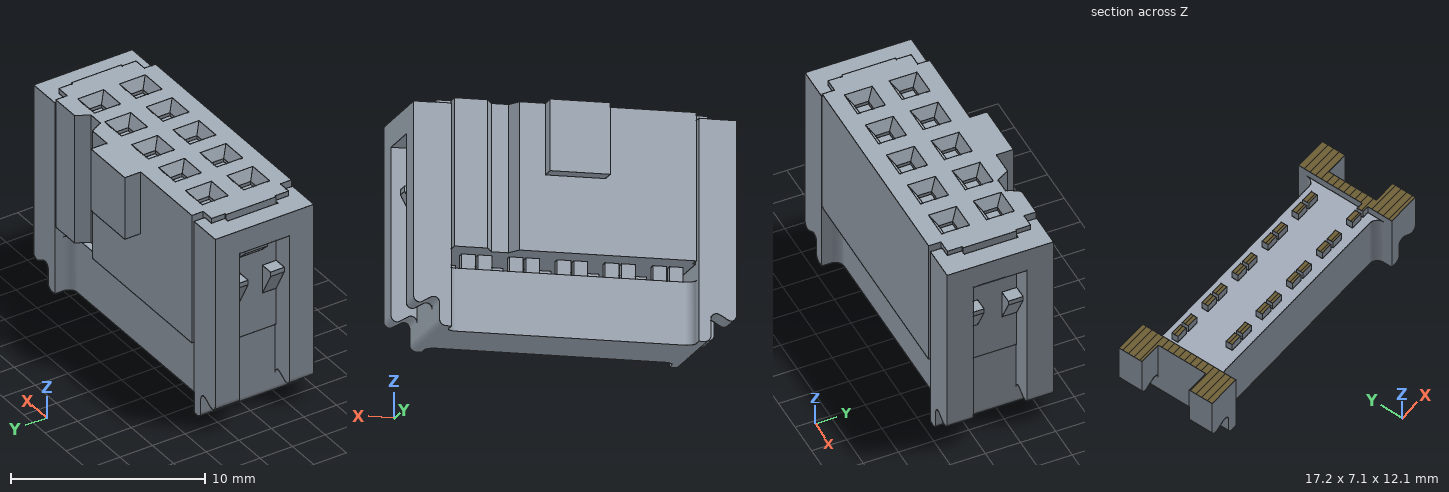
import cadquery as cq
import math


length = 17.2
bracket_depth = 6.05
bracket_top = 11.8
bracket_inner_x = 6.59
foot_outer_x = 7.22
foot_radius = 0.35
leg_bottom = 1.17
notch_top = 1.51
leg_radius = 0.31
mid_y = bracket_depth / 2

slot_width = 3.06
slot_top = 10.39
top_gap_width = 0.17

housing_top = 12.1
housing_bottom = 4.23
housing_half_length = 6.43
housing_front = -0.03
housing_back = 6.09
flange_width = 4.73
tab_thickness = 0.1
tab_face_x = foot_outer_x + tab_thickness

key_width = 3.2
key_back = 7.07
key_bottom = 8.29
notch_x = 3.82
notch_outer_width = 1.7
notch_inner_width = 0.9
notch_floor_y = 5.35

columns = 5
pitch = 2.55
socket_mouth = 1.58
socket_bore = 0.79
funnel_depth = 0.57
socket_depth = 0.75

tooth_width = 0.85
tooth_reach = 0.77
tooth_top = 8.17
tooth_lip = 0.28
tooth_bottom = 6.45
lug_reach = 0.46
lug_bottom = 9.15

cover_top = 3.34
cover_front = 1.05
cover_fillet = 0.5

fork_width = 1.62
fork_slit = 0.15
fork_thickness = 0.4
fork_centre_x = 0.38
embed = 0.17


def box(x0, x1, y0, y1, z0, z1):
    return cq.Workplane("XY").box(x1 - x0, y1 - y0, z1 - z0, centered=False).translate((x0, y0, z0))


def both_ends(right_end):
    return right_end.union(right_end.mirror("YZ"))


def extrude_y(profile, y0, y1):
    """Extrude a profile drawn on the XZ plane from y0 to y1."""
    return profile.extrude(y0 - y1).translate((0, y0, 0))


def make_bracket():
    """Right bracket: an S-curved notch separates the outer legs from the foot."""
    r = leg_radius
    outer_x = length / 2
    leg_cx, leg_cz = outer_x - r, leg_bottom + r
    notch_cx, notch_cz = foot_outer_x + r, notch_top - r

    run, drop = leg_cx - notch_cx, leg_cz - notch_cz
    slope = math.asin(2 * r / math.hypot(run, drop)) - math.atan2(drop, run)
    nx, nz = r * math.sin(slope), r * math.cos(slope)
    diagonal = r * math.sqrt(0.5)

    profile = (
        cq.Workplane("XZ")
        .moveTo(bracket_inner_x, 0)
        .lineTo(foot_outer_x - foot_radius, 0)
        .radiusArc((foot_outer_x, foot_radius), -foot_radius)
        .lineTo(foot_outer_x, notch_cz)
        .threePointArc((notch_cx - diagonal, notch_cz + diagonal), (notch_cx, notch_top))
        .threePointArc(
            (notch_cx + r * math.sin(slope / 2), notch_cz + r * math.cos(slope / 2)),
            (notch_cx + nx, notch_cz + nz),
        )
        .lineTo(leg_cx - nx, leg_cz - nz)
        .threePointArc(
            (leg_cx - r * math.sin(slope / 2), leg_cz - r * math.cos(slope / 2)),
            (leg_cx, leg_bottom),
        )
        .threePointArc((leg_cx + diagonal, leg_cz - diagonal), (outer_x, leg_cz))
        .lineTo(outer_x, bracket_top)
        .lineTo(bracket_inner_x, bracket_top)
        .close()
    )
    slot_y0, slot_y1 = mid_y - slot_width / 2, mid_y + slot_width / 2
    slot = box(foot_outer_x, outer_x, slot_y0, slot_y1, 0, slot_top)
    top_gap = box(foot_outer_x, tab_face_x + top_gap_width, slot_y0, slot_y1, 0, bracket_top)
    return extrude_y(profile, 0, bracket_depth).cut(slot).cut(top_gap)


def make_latch():
    """Right-end tab with two latch teeth and a lug between them."""
    y0, y1 = mid_y - slot_width / 2, mid_y + slot_width / 2
    latch = box(housing_half_length, tab_face_x, y0, y1, housing_bottom, housing_top)
    tooth = [
        (foot_outer_x, tooth_bottom),
        (tab_face_x, tooth_bottom),
        (tab_face_x + tooth_reach, tooth_top - tooth_lip),
        (tab_face_x + tooth_reach, tooth_top),
        (foot_outer_x, tooth_top),
    ]
    lug = [
        (foot_outer_x, lug_bottom),
        (tab_face_x, lug_bottom),
        (tab_face_x + lug_reach, lug_bottom + lug_reach),
        (tab_face_x + lug_reach, slot_top),
        (foot_outer_x, slot_top),
    ]
    lug_y0, lug_y1 = y0 + tooth_width, y1 - tooth_width
    for points, start, end in ((tooth, y0, lug_y0), (lug, lug_y0, lug_y1), (tooth, lug_y1, y1)):
        latch = latch.union(extrude_y(cq.Workplane("XZ").polyline(points).close(), start, end))
    return latch


def make_socket():
    """Funnel-mouthed square socket, with its mouth centred on the origin."""
    bore = cq.Workplane("XY").rect(socket_bore, socket_bore).extrude(-socket_depth)
    funnel = (
        cq.Workplane("XY").rect(socket_mouth, socket_mouth)
        .workplane(offset=-funnel_depth).rect(socket_bore, socket_bore).loft(ruled=True)
    )
    return bore.union(funnel)


def make_housing():
    body = box(-housing_half_length, housing_half_length, housing_front, housing_back,
               housing_bottom, housing_top)
    flange = box(-foot_outer_x, foot_outer_x, mid_y - flange_width / 2, mid_y + flange_width / 2,
                 housing_bottom, housing_top)
    key = box(-key_width / 2, key_width / 2, mid_y, key_back, key_bottom, housing_top)
    notch = cq.Workplane("XY").polyline([
        (notch_x - notch_outer_width / 2, housing_back),
        (notch_x - notch_inner_width / 2, notch_floor_y),
        (notch_x + notch_inner_width / 2, notch_floor_y),
        (notch_x + notch_outer_width / 2, housing_back),
    ]).close().extrude(housing_top)
    sockets = (
        cq.Workplane("XY", origin=(0, mid_y, housing_top))
        .rarray(pitch, pitch, columns, 2)
        .eachpoint(lambda place: make_socket().val().moved(place))
    )
    return body.union(flange).union(key).cut(notch).cut(sockets)


def make_cover():
    """Cover between the brackets, with concave fillets running into their inner faces."""
    half = bracket_inner_x - cover_fillet
    web = box(-bracket_inner_x, bracket_inner_x, cover_front, bracket_depth - cover_front, 0, cover_top)
    corner = (
        box(half, bracket_inner_x, cover_front - cover_fillet, cover_front, 0, cover_top)
        .cut(cq.Workplane("XY").center(half, cover_front - cover_fillet)
             .circle(cover_fillet).extrude(cover_top))
    )
    corner = corner.union(corner.mirror("XZ").translate((0, bracket_depth, 0)))
    return web.union(both_ends(corner))


def make_fork(x, y):
    """Forked contact bridging the space between cover and housing."""
    bottom, top = cover_top - embed, housing_bottom + embed
    y0, y1 = y - fork_thickness / 2, y + fork_thickness / 2
    blade = box(x - fork_width / 2, x + fork_width / 2, y0, y1, bottom, top)
    return blade.cut(box(x - fork_slit / 2, x + fork_slit / 2, y0, y1, bottom, top))


result = make_housing().union(make_cover())
result = result.union(both_ends(make_bracket())).union(both_ends(make_latch()))

for column in range(columns):
    column_x = fork_centre_x + (column - (columns - 1) / 2) * pitch
    result = result.union(make_fork(column_x + pitch / 4, mid_y - pitch / 2))
    result = result.union(make_fork(column_x - pitch / 4, mid_y + pitch / 2))